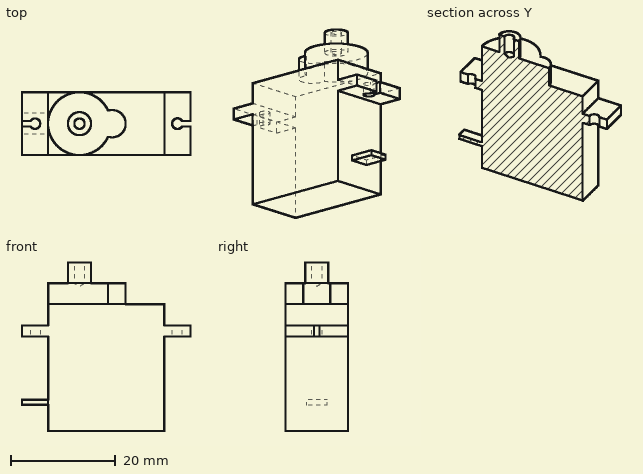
import cadquery as cq
import math

overall_length = 32.2
overall_height = 32.2
case_width = 12.0
ear_length = 5.0
case_length = overall_length - 2 * ear_length
middle_y = case_width / 2

housing_height = 4.0
shaft_height = 4.0
case_height = overall_height - housing_height - shaft_height
housing_radius = case_width / 2
lobe_radius = 2.6
lobe_offset = 6.2
shaft_diameter = 4.4
shaft_x = housing_radius

bore_diameter = 2.0
bore_depth = 4.0
drill_point_angle = 118.0

ear_bottom = 18.0
ear_thickness = 2.2
keyhole_diameter = 2.0
keyhole_inset = 2.5
slot_width = 1.0

cable_width = 4.0
cable_thickness = 1.0
cable_bottom = 5.0


def block(x, y, z, length, width, height):
    """Box with its minimum corner at (x, y, z)."""
    return cq.Workplane("XY").box(length, width, height, centered=False).translate((x, y, z))


def disc(x, z, radius, height):
    """Upright cylinder on the middle plane of the case."""
    return cq.Workplane("XY", origin=(x, middle_y, z)).circle(radius).extrude(height)


def keyhole(end_x, inward):
    """Keyhole cutter opening at end_x; inward is the X sign toward the case."""
    hole_x = end_x + inward * keyhole_inset
    hole = disc(hole_x, ear_bottom, keyhole_diameter / 2, ear_thickness)
    slot_x = min(end_x, hole_x)
    slot_y = middle_y - slot_width / 2
    slot = block(slot_x, slot_y, ear_bottom, keyhole_inset, slot_width, ear_thickness)
    return hole.union(slot)


def shaft_bore():
    """Blind bore with a conical bottom, revolved about the shaft axis."""
    radius = bore_diameter / 2
    point_depth = radius / math.tan(math.radians(drill_point_angle / 2))
    return (
        cq.Workplane("XZ", origin=(shaft_x, middle_y, overall_height))
        .moveTo(0, 0)
        .lineTo(radius, 0)
        .lineTo(radius, -bore_depth)
        .lineTo(0, -bore_depth - point_depth)
        .close()
        .revolve(360, (0, 0), (0, 1))
    )


case = block(0, 0, 0, case_length, case_width, case_height)
ears = block(-ear_length, 0, ear_bottom, overall_length, case_width, ear_thickness)
ears = ears.cut(keyhole(-ear_length, 1)).cut(keyhole(case_length + ear_length, -1))
cable_y = middle_y - cable_width / 2
cable = block(-ear_length, cable_y, cable_bottom, ear_length, cable_width, cable_thickness)

housing = disc(shaft_x, case_height, housing_radius, housing_height)
lobe = disc(shaft_x + lobe_offset, case_height, lobe_radius, housing_height)
shaft = disc(shaft_x, case_height + housing_height, shaft_diameter / 2, shaft_height)

result = case.union(ears).union(cable).union(housing).union(lobe).union(shaft)
result = result.cut(shaft_bore())